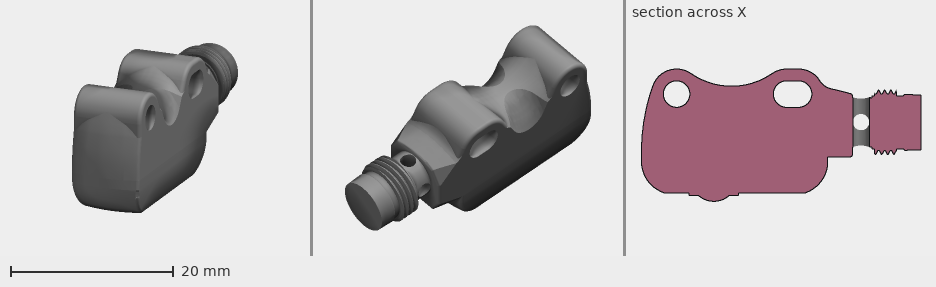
import cadquery as cq
import math


body_width = 9.03
half_width = body_width / 2
front_y = -25.98
hull_rear_y = -3.03
bottom_z = -8.7
side_curve_z = -3.62
front_curve_z = -4.86
bulge_radius = 13.9
side_curve_radius = 18.9
edge_radius = 0.5
hull_edge_radius = 0.45
hull_corner_run = 2.85
hull_corner_sag = 0.75

lug_radius = 3.1
lug_z = 3.47
front_lug_y = -21.63
slot_front_y = -8.13
slot_rear_y = -6.66
hole_radius = 1.6
valley_radius = 2.7
valley_floor_z = 0.52
saddle_y = (front_lug_y + slot_front_y) / 2
saddle_floor_z = 4.46
waist_radius = 6.0
scoop_start_x = 0.77
scoop_bow = 0.4

rear_bottom_z = -4.27
rear_shoulder_z = 3.5
rear_crest_y = -2.82
rear_crest_z = 4.2
rear_lug_angle = math.radians(30)
rear_crown_radius = 12.0
shoulder_upper_z = 0.9
shoulder_lower_z = -2.15
bevel_edge_x = 3.15
bevel_top_z = 3.1
rear_join_y = -3.3
rear_join_z = 3.68
hull_side_rear_y = -3.9
shoulder_radius = 0.4

tip_y = 8.41
tip_radius = 3.4
lip_y = 6.37
lip_radius = 3.48
groove_y = 6.17
groove_radius = 3.29
neck_y = 2.33
neck_radius = 3.05
cross_hole_y = 1.04
cross_hole_radius = 1.0
thread_start_y = 2.6
thread_end_y = 5.39
thread_pitch = 0.75
thread_outer_radius = 4.0
thread_root_radius = 3.5
thread_base_width = 0.94 * thread_pitch
thread_crest_width = 0.12 * thread_pitch
thread_bury = 0.1

lens_y = -17.05
lens_rim_radius = 3.07
lens_rim_height = 0.3
dome_radius = 1.9
lens_height = 1.03
dome_bottom_z = bottom_z - lens_height

overlap = 0.5
margin = 5.0
tool_width = 40.0


def box(x_size, y_min, y_max, z_min, z_max):
    """Box centred on X = 0."""
    return (
        cq.Workplane("XY", origin=(0, (y_min + y_max) / 2, (z_min + z_max) / 2))
        .box(x_size, y_max - y_min, z_max - z_min)
    )


def across(radius, y, z):
    """Cylinder along X through the full body width."""
    return (
        cq.Workplane("YZ", origin=(-body_width, 0, 0))
        .center(y, z).circle(radius).extrude(2 * body_width)
    )


def polar(center, radius, angle):
    """Point on a circle, with the angle in radians."""
    return (center[0] + radius * math.cos(angle), center[1] + radius * math.sin(angle))


def valley_points():
    """Rear and front ends of the valley arc, then of the flanks on the rear and front lugs.

    The flanks are inner common tangents of the valley circle and the lug circles.
    """
    valley = (saddle_y, valley_floor_z + valley_radius)
    slot_front = (slot_front_y, lug_z)
    span = math.hypot(slot_front_y - saddle_y, lug_z - valley[1])
    tilt = math.atan2(lug_z - valley[1], slot_front_y - saddle_y)
    angle = tilt - math.acos((lug_radius + valley_radius) / span)
    arc_rear = polar(valley, valley_radius, angle)
    lug_rear = polar(slot_front, lug_radius, angle + math.pi)
    arc_front = (2 * saddle_y - arc_rear[0], arc_rear[1])
    lug_front = (2 * saddle_y - lug_rear[0], lug_rear[1])
    return arc_rear, arc_front, lug_rear, lug_front


def make_upper_body():
    """Straight-sided plate with two rounded lugs and a valley between them."""
    slot_front = (slot_front_y, lug_z)
    slot_rear = (slot_rear_y, lug_z)
    front_lug = (front_lug_y, lug_z)
    arc_rear, arc_front, lug_rear, lug_front = valley_points()
    contact_angle = math.atan2(lug_rear[1] - lug_z, lug_rear[0] - slot_front_y)
    slot_mid_angle = (math.pi / 2 + contact_angle) / 2

    outline = (
        cq.Workplane("YZ", origin=(-half_width, 0, 0))
        .moveTo(hull_side_rear_y, side_curve_z)
        .lineTo(rear_join_y, rear_join_z)
        .lineTo(*polar(slot_rear, lug_radius, rear_lug_angle))
        .threePointArc(
            polar(slot_rear, lug_radius, (rear_lug_angle + math.pi / 2) / 2),
            (slot_rear_y, lug_z + lug_radius),
        )
        .lineTo(slot_front_y, lug_z + lug_radius)
        .threePointArc(polar(slot_front, lug_radius, slot_mid_angle), lug_rear)
        .lineTo(*arc_rear)
        .threePointArc((saddle_y, valley_floor_z), arc_front)
        .lineTo(*lug_front)
        .threePointArc(
            polar(front_lug, lug_radius, math.pi / 2),
            (front_lug_y - lug_radius, lug_z),
        )
        .lineTo(front_lug_y - lug_radius, side_curve_z)
        .close()
    )
    plate = outline.extrude(body_width)
    rounded_zone = cq.selectors.BoxSelector(
        (-body_width, front_y, -overlap), (body_width, rear_join_y - overlap, lug_z + 2 * lug_radius)
    )
    return plate.edges("|Y or #X").edges(rounded_zone).edges("<X or >X").fillet(edge_radius)


def make_end_limit():
    """Solid of revolution about a vertical axis that shapes the front end face."""
    axis_y = front_y + bulge_radius
    setback = front_lug_y - front_y
    lug_rise = lug_z - side_curve_z
    lean_radius = (setback**2 + lug_rise**2 - lug_radius**2) / (2 * (setback - lug_radius))
    lean_centre = (bulge_radius - lean_radius, side_curve_z)
    lean_angle = math.asin(lug_rise / (lean_radius - lug_radius))
    lean_top = polar(lean_centre, lean_radius, lean_angle)
    drop = front_curve_z - bottom_z
    chord = math.hypot(drop, hull_corner_run)
    corner_mid = (
        bulge_radius - hull_corner_run / 2 + hull_corner_sag * drop / chord,
        front_curve_z - drop / 2 - hull_corner_sag * hull_corner_run / chord,
    )
    return (
        cq.Workplane("XZ", origin=(0, axis_y, 0))
        .moveTo(0, lean_top[1])
        .lineTo(*lean_top)
        .threePointArc(polar(lean_centre, lean_radius, lean_angle / 2), (bulge_radius, side_curve_z))
        .lineTo(bulge_radius, front_curve_z)
        .threePointArc(corner_mid, (bulge_radius - hull_corner_run, bottom_z))
        .lineTo(0, bottom_z)
        .close()
        .revolve(360, (0, 0, 0), (0, 1, 0))
    )


def make_hull():
    """Lower hull with inward-curving sides and bulged ends, rising up the front face."""
    top_z = lug_z + 2 * lug_radius

    def side_x(z):
        depth = side_curve_z - z
        return half_width - side_curve_radius + math.sqrt(side_curve_radius**2 - depth**2)

    arc_mid_z = (side_curve_z + bottom_z) / 2
    bottom_x = side_x(bottom_z)

    def is_rim(edge):
        centre = edge.Center()
        along_side = abs(centre.x) > half_width / 2
        return along_side and (edge.geomType() == "BSPLINE" or centre.z < bottom_z + overlap)

    section = (
        cq.Workplane("XZ", origin=(0, margin, 0))
        .moveTo(0, top_z)
        .lineTo(half_width, top_z)
        .lineTo(half_width, side_curve_z)
        .threePointArc((side_x(arc_mid_z), arc_mid_z), (bottom_x, bottom_z))
        .lineTo(0, bottom_z)
        .close()
        .extrude(2 * margin - front_y)
    )
    bar = section.union(section.mirror("YZ"))
    front_limit = make_end_limit()
    rear_limit = front_limit.mirror("XZ", (0, (front_y + hull_rear_y) / 2, 0))
    front_part = box(tool_width, front_y - margin, front_lug_y, side_curve_z - overlap, top_z)
    hull = bar.intersect(front_limit).intersect(rear_limit.union(front_part))
    hull = hull.cut(box(tool_width, front_lug_y, margin, side_curve_z, top_z))
    rim = [edge for edge in hull.edges().vals() if is_rim(edge)]
    return hull.newObject(rim).fillet(hull_edge_radius)


def make_scoop():
    """Cutter with the valley's section, bowing from the saddle floor down to the valley floor."""
    arc_rear, arc_front, lug_rear, lug_front = valley_points()
    outline = (
        cq.Workplane("YZ")
        .moveTo(*lug_rear)
        .lineTo(*arc_rear)
        .threePointArc((saddle_y, valley_floor_z), arc_front)
        .lineTo(*lug_front)
        .close()
        .val()
    )
    run = half_width - scoop_start_x
    rise = saddle_floor_z - valley_floor_z
    length = math.hypot(run, rise)
    stations = (
        (half_width, 0),
        (half_width - run / 2 + scoop_bow * rise / length, rise / 2 + scoop_bow * run / length),
        (scoop_start_x, rise),
    )
    wires = [outline.translate(cq.Vector(x, 0, lift)) for x, lift in stations]
    return cq.Workplane(obj=cq.Solid.makeLoft(wires))


def make_saddle():
    """Neck of revolution about a lengthwise axis, scooped at both sides, filling the valley."""
    neck_centre_z = saddle_floor_z - waist_radius

    lug_offset = slot_front_y - saddle_y
    step = saddle_floor_z - lug_z
    saddle_radius = (lug_offset**2 + step**2 - lug_radius**2) / (2 * (lug_radius - step))
    saddle_half_length = lug_offset * saddle_radius / (saddle_radius + lug_radius)
    flare = saddle_radius - math.sqrt(saddle_radius**2 - saddle_half_length**2)
    neck = (
        cq.Workplane("XY", origin=(0, saddle_y, neck_centre_z))
        .moveTo(0, -saddle_half_length)
        .lineTo(waist_radius + flare, -saddle_half_length)
        .threePointArc((waist_radius, 0), (waist_radius + flare, saddle_half_length))
        .lineTo(0, saddle_half_length)
        .close()
        .revolve(360, (0, 0, 0), (0, 1, 0))
    )
    keep = box(
        body_width, saddle_y - saddle_half_length, saddle_y + saddle_half_length, 0, lug_z + lug_radius
    )
    scoop = make_scoop()
    return neck.intersect(keep).cut(scoop).cut(scoop.mirror("YZ"))


def bevel_tool(p, q, r):
    """Block whose face passes through three points; it lies on the outer (+X) side."""
    normal = (cq.Vector(*q) - cq.Vector(*p)).cross(cq.Vector(*r) - cq.Vector(*p))
    if normal.x < 0:
        normal = normal * -1
    plane = cq.Plane(origin=p, xDir=cq.Vector(*q) - cq.Vector(*p), normal=normal)
    return cq.Workplane(plane).rect(tool_width, tool_width).extrude(tool_width)


def make_rear_block():
    """Crowned, bevelled block between the connector and the rear lug."""
    inner_y = slot_rear_y
    axis_z = rear_crest_z - rear_crown_radius
    lug_entry = polar((slot_rear_y, lug_z), lug_radius, rear_lug_angle)
    crown = (
        cq.Workplane("XY", origin=(0, 0, axis_z))
        .lineTo(rear_shoulder_z - axis_z, 0)
        .lineTo(rear_crest_z - axis_z, rear_crest_y)
        .tangentArcPoint((lug_entry[1] - axis_z, lug_entry[0]), relative=False)
        .lineTo(lug_entry[1] - axis_z, inner_y)
        .lineTo(0, inner_y)
        .close()
        .revolve(360, (0, 0, 0), (0, 1, 0))
    )
    block = crown.intersect(box(body_width, inner_y, 0, rear_bottom_z, lug_z + lug_radius))
    block = block.cut(box(body_width, inner_y, hull_side_rear_y, rear_bottom_z, side_curve_z))
    upper = bevel_tool(
        (half_width, 0, shoulder_upper_z),
        (half_width, rear_join_y, rear_join_z),
        (bevel_edge_x, 0, bevel_top_z),
    )
    lower = bevel_tool(
        (half_width, 0, shoulder_lower_z),
        (half_width, hull_side_rear_y, side_curve_z),
        (bevel_edge_x, 0, rear_bottom_z),
    )
    for tool in (upper, lower):
        block = block.cut(tool).cut(tool.mirror("YZ"))
    return block.faces(">Y").edges().fillet(shoulder_radius)


def make_thread():
    """Helical ridge trimmed square at both ends of the threaded length."""
    length = thread_end_y - thread_start_y
    buried_radius = thread_root_radius - thread_bury
    half_base = thread_base_width / 2
    half_crest = thread_crest_width / 2
    helix = cq.Wire.makeHelix(thread_pitch, length + 2 * thread_pitch, buried_radius)
    ridge = (
        cq.Workplane("XZ")
        .moveTo(buried_radius, -half_base)
        .lineTo(thread_outer_radius, -half_crest)
        .lineTo(thread_outer_radius, half_crest)
        .lineTo(buried_radius, half_base)
        .close()
        .sweep(cq.Workplane(obj=helix), isFrenet=True)
    )
    sleeve = (
        cq.Workplane("XY", origin=(0, 0, thread_pitch))
        .circle(thread_outer_radius + margin).extrude(length)
    )
    ridge = ridge.intersect(sleeve)
    return ridge.rotate((0, 0, 0), (1, 0, 0), -90).translate((0, thread_start_y - thread_pitch, 0))


def make_connector():
    """Turned connector with a threaded collar and a neck pierced crosswise."""
    stem = (
        cq.Workplane("XY")
        .moveTo(0, -overlap)
        .lineTo(neck_radius, -overlap)
        .lineTo(neck_radius, neck_y)
        .lineTo(groove_radius, neck_y)
        .lineTo(groove_radius, thread_start_y)
        .lineTo(thread_root_radius, thread_start_y)
        .lineTo(thread_root_radius, thread_end_y)
        .lineTo(groove_radius, thread_end_y)
        .lineTo(groove_radius, groove_y)
        .lineTo(lip_radius, lip_y)
        .lineTo(tip_radius, tip_y)
        .lineTo(0, tip_y)
        .close()
        .revolve(360, (0, 0, 0), (0, 1, 0))
    )
    upright_hole = (
        cq.Workplane("XY", origin=(0, cross_hole_y, -margin))
        .circle(cross_hole_radius).extrude(2 * margin)
    )
    stem = stem.cut(upright_hole).cut(across(cross_hole_radius, cross_hole_y, 0))
    return stem.union(make_thread())


def make_lens():
    """Shallow round rim with a domed lens, below the hull."""
    rim_z = bottom_z - lens_rim_height
    dome_height = rim_z - dome_bottom_z
    sphere_radius = (dome_radius**2 + dome_height**2) / (2 * dome_height)
    mid_x = dome_radius / 2
    mid_z = dome_bottom_z + sphere_radius - math.sqrt(sphere_radius**2 - mid_x**2)
    return (
        cq.Workplane("XZ", origin=(0, lens_y, 0))
        .moveTo(0, bottom_z + overlap)
        .lineTo(lens_rim_radius, bottom_z + overlap)
        .lineTo(lens_rim_radius, rim_z)
        .lineTo(dome_radius, rim_z)
        .threePointArc((mid_x, mid_z), (0, dome_bottom_z))
        .close()
        .revolve(360, (0, 0, 0), (0, 1, 0))
    )


def make_mounting_holes():
    """Crosswise slot through the rear lug and round hole through the front lug."""
    slot = across(hole_radius, slot_front_y, lug_z).union(across(hole_radius, slot_rear_y, lug_z))
    slot = slot.union(
        box(2 * body_width, slot_front_y, slot_rear_y, lug_z - hole_radius, lug_z + hole_radius)
    )
    return slot.union(across(hole_radius, front_lug_y, lug_z))


body = make_upper_body().union(make_hull()).union(make_saddle()).union(make_rear_block())
body = body.cut(make_mounting_holes())
result = body.union(make_lens()).union(make_connector())